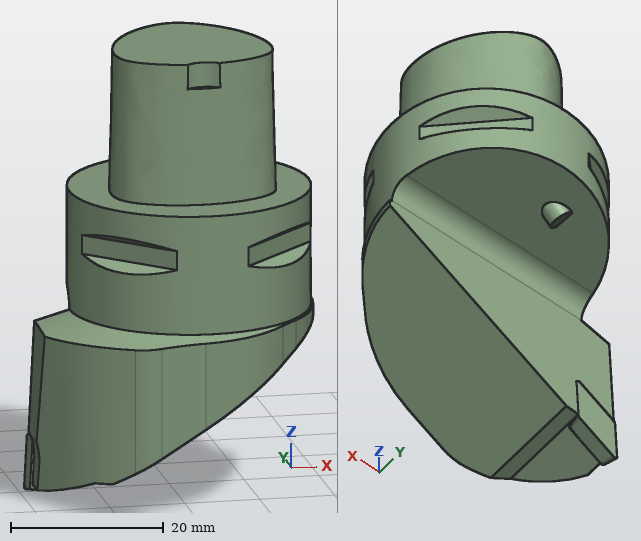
import cadquery as cq
import math


shank_height = 18.95
shank_base_radius = 10.9
shank_top_radius = 10.5
lobe_height = 0.795
lobe_count = 3
curve_points = 72
key_notch_radius = 3.4
key_notch_depth = 3.3
key_notch_inner_y = -8.85

flange_radius = 16.0
flange_height = 16.0
slot_flat_distance = 14.15
slot_center_z = -5.95
slot_floor_height = 2.55
slot_mouth_height = 4.7
slot_length = 2 * flange_radius

cut_margin = 0.6

relief_edge_z = -11.9
relief_root_z = -13.2
relief_root_radius = flange_height + relief_root_z

nozzle_diameter = 3.4
nozzle_end = (-4.7, 9.7, -13.15)
nozzle_length = 7.1
nozzle_axis = (1, 0, 1)

head_right_radius = 16.3
flat_y = -18.2
flat_left_x = -7.45
flat_right_x = -1.55
right_arc_radius = 15.45
right_normal_angle = math.radians(-42.7)
small_arc_radius = 7.0
left_arc_center = (0.05, 2.8)
left_arc_radius = 22.9
shoulder_slope = 0.277
head_envelope_radius = 26.55

head_bottom_z = -38.8
underside_right_z = -17.3
flank_top_z = -11.8
flank_top_x = -20.4
flank_slope = 0.05
flank_relief_top_z = -32.2
flank_relief_root = (-21.2, -34.75)
flank_relief_middle = (-21.27, -33.35)
flank_bottom_x = -21.35
seat_end = (-15.45, -35.9)
underside_left = (-13.45, -35.7)

insert_edge = 7.7
insert_thickness = 2.3
insert_corner = (-22.05, -40.4)
insert_angle = 55.0
insert_tilt = 32.0
insert_clearance = 7.0
nose_radius = 0.4


def polar(center, radius, angle):
    return (center[0] + radius * math.cos(angle), center[1] + radius * math.sin(angle))


def lobed_point(radius, angle):
    """Point of a rounded triangle whose support distance is radius + lobe_height * cos(3 * turn)."""
    turn = lobe_count * (angle - math.pi / 2)
    support = radius + lobe_height * math.cos(turn)
    slope = -lobe_count * lobe_height * math.sin(turn)
    return (
        support * math.cos(angle) - slope * math.sin(angle),
        support * math.sin(angle) + slope * math.cos(angle),
    )


def lobed_wire(radius, height):
    step = 2 * math.pi / curve_points
    points = [cq.Vector(*lobed_point(radius, i * step), height) for i in range(curve_points)]
    return cq.Wire.assembleEdges([cq.Edge.makeSpline(points, periodic=True)])


def make_shank():
    base = lobed_wire(shank_base_radius, 0)
    top = lobed_wire(shank_top_radius, shank_height)
    shank = cq.Workplane(cq.Solid.makeLoft([base, top], True))
    notch = (
        cq.Workplane("XY", origin=(0, key_notch_inner_y - key_notch_radius, shank_height))
        .circle(key_notch_radius)
        .extrude(-key_notch_depth)
    )
    return shank.cut(notch)


def make_gripper_slot(angle):
    """Flat-bottomed slot whose upper and lower walls flare outwards."""
    flare = (slot_mouth_height - slot_floor_height) / 2 / (flange_radius - slot_flat_distance)
    outer = flange_radius + cut_margin
    floor_half = slot_floor_height / 2
    outer_half = floor_half + flare * (outer - slot_flat_distance)
    return (
        cq.Workplane("XZ", origin=(0, 0, slot_center_z))
        .polyline([
            (slot_flat_distance, -floor_half),
            (outer, -outer_half),
            (outer, outer_half),
            (slot_flat_distance, floor_half),
        ])
        .close()
        .extrude(slot_length / 2, both=True)
        .rotate((0, 0, 0), (0, 0, 1), angle)
    )


def make_face_relief():
    """Clearance below a gently sloping line that curves down to the plane y = 0."""
    outer = flange_radius + cut_margin
    root = relief_root_radius
    arc_middle = polar((root, -flange_height), root, math.radians(135))
    return (
        cq.Workplane("YZ")
        .moveTo(0, -flange_height)
        .threePointArc(arc_middle, (root, relief_root_z))
        .lineTo(outer, relief_edge_z)
        .lineTo(outer, -flange_height)
        .close()
        .extrude(outer, both=True)
    )


def make_flange():
    flange = cq.Workplane("XY").circle(flange_radius).extrude(-flange_height)
    for angle in (45, 135, 225, 315):
        flange = flange.cut(make_gripper_slot(angle))
    return flange.cut(make_face_relief())


def make_nozzle():
    axis = cq.Vector(*nozzle_axis)
    return cq.Workplane(
        cq.Solid.makeCylinder(nozzle_diameter / 2, nozzle_length, cq.Vector(*nozzle_end), axis)
    )


def make_head_outline():
    """Vertical prism on the -Y side: a chain of arcs around a short front flat."""
    right_center = (flat_right_x, flat_y + right_arc_radius)
    right_arc_end = polar(right_center, right_arc_radius, right_normal_angle)
    right_arc_middle = polar(right_center, right_arc_radius, (right_normal_angle - math.pi / 2) / 2)
    rim_start = polar((0, 0), head_right_radius, right_normal_angle)
    rim_middle = polar((0, 0), head_right_radius, right_normal_angle / 2)

    small_center = (flat_left_x, flat_y + small_arc_radius)
    join_angle = math.atan2(
        small_center[1] - left_arc_center[1], small_center[0] - left_arc_center[0]
    )
    small_end = polar(small_center, small_arc_radius, join_angle)
    small_middle = polar(small_center, small_arc_radius, (join_angle - math.pi / 2) / 2)
    left_end_angle = -math.pi + math.asin(left_arc_center[1] / left_arc_radius)
    left_end = polar(left_arc_center, left_arc_radius, left_end_angle)
    left_middle = polar(left_arc_center, left_arc_radius, (join_angle + left_end_angle) / 2)
    return (
        cq.Workplane("XY")
        .moveTo(head_right_radius, 0)
        .threePointArc(rim_middle, rim_start)
        .lineTo(*right_arc_end)
        .threePointArc(right_arc_middle, (flat_right_x, flat_y))
        .lineTo(flat_left_x, flat_y)
        .threePointArc(small_middle, small_end)
        .threePointArc(left_middle, left_end)
        .close()
        .extrude(insert_corner[1])
    )


def make_shoulder_envelope():
    """Everything below a cone that falls away from the rim of the flange."""
    bottom = insert_corner[1]
    edge_z = -flange_height - shoulder_slope * (head_envelope_radius - flange_radius)
    return (
        cq.Workplane("XZ")
        .polyline([
            (0, bottom),
            (head_envelope_radius, bottom),
            (head_envelope_radius, edge_z),
            (flange_radius, -flange_height),
            (0, -flange_height),
        ])
        .close()
        .revolve(360, (0, 0, 0), (0, 1, 0))
    )


def make_side_envelope():
    """Extent across Y of the tilted left flank and the stepped, sloping underside."""
    flank_relief_top_x = flank_top_x - flank_slope * (flank_top_z - flank_relief_top_z)
    return (
        cq.Workplane("XZ")
        .moveTo(head_right_radius, flank_top_z)
        .lineTo(flank_top_x, flank_top_z)
        .lineTo(flank_relief_top_x, flank_relief_top_z)
        .threePointArc(flank_relief_middle, flank_relief_root)
        .lineTo(flank_bottom_x, head_bottom_z)
        .lineTo(*seat_end)
        .lineTo(*underside_left)
        .lineTo(head_right_radius, underside_right_z)
        .close()
        .extrude(head_envelope_radius)
    )


def make_head():
    return make_head_outline().intersect(make_shoulder_envelope()).intersect(make_side_envelope())


def make_insert():
    """Rhombic insert flush with y = 0, its flanks tapering in towards -Y."""
    bottom_edge = math.radians(insert_tilt)
    side_edge = math.radians(insert_tilt + insert_angle)
    right_corner = polar(insert_corner, insert_edge, bottom_edge)
    return (
        cq.Workplane("XZ")
        .polyline([
            insert_corner,
            right_corner,
            polar(right_corner, insert_edge, side_edge),
            polar(insert_corner, insert_edge, side_edge),
        ])
        .close()
        .extrude(insert_thickness, taper=insert_clearance)
        .edges("not #Y")
        .fillet(nose_radius)
    )


insert = make_insert()
holder = make_flange().union(make_shank()).union(make_nozzle()).union(make_head()).cut(insert)

result = cq.Compound.makeCompound([holder.solids().val(), insert.solids().val()])